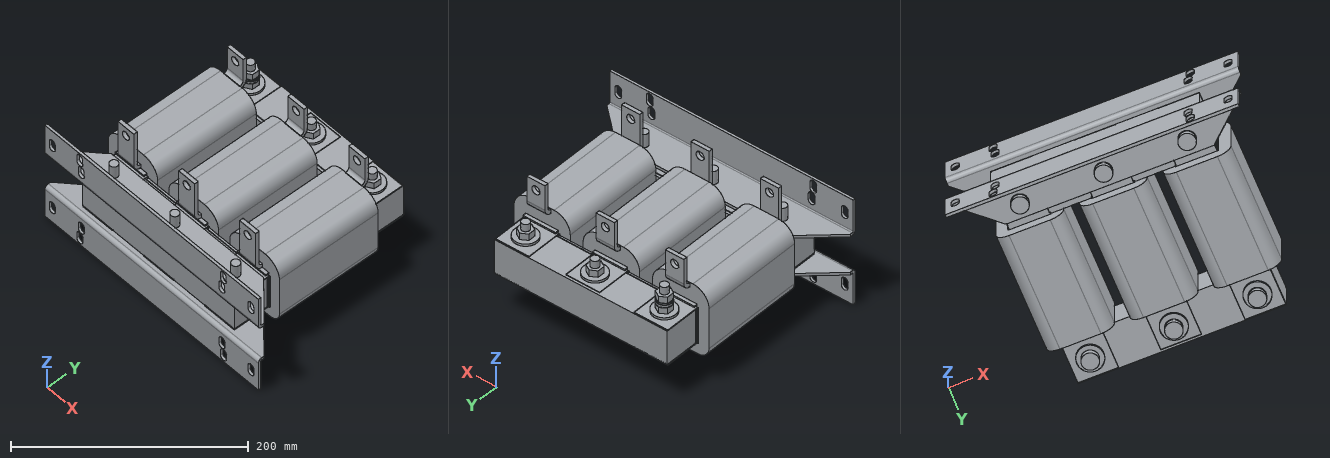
import cadquery as cq


bracket_length = 267.0
overall_depth = 200.8
back_y = overall_depth / 2
front_y = -overall_depth / 2

leg_pitch = 76.0
leg_xs = [-leg_pitch, 0, leg_pitch]
leg_width = 37.6
limb_width = leg_width - 1.0
core_width = 2 * leg_pitch + leg_width
core_bottom = -18.0
core_top = 18.7
yoke_gap = 117.7
back_yoke_front = back_y - leg_width
front_yoke_back = back_yoke_front - yoke_gap
front_yoke_front = front_yoke_back - leg_width
back_bolt_y = back_y - leg_width / 2
front_bolt_y = front_yoke_back - leg_width / 2

insulation_half_height = 19.2
coil_gap = 2.7
end_plate_thickness = 1.0
end_plate_width = 39.2
pad_width = leg_width - 0.5
front_pad_inset = 0.3
outer_pad_inset = 1.0
middle_pad_inset = 2.7
spacer_width = core_width - 1.0
spacer_top = core_top - 0.8
lip_width = 35.8
lip_depth = 3.7
lip_bottom = 20.8
lip_top = 22.5

coil_back = back_yoke_front - coil_gap
coil_front = front_yoke_back + coil_gap
coil_width = 62.0
coil_top = 42.0
coil_bottom = -31.5
coil_top_radius = 17.5
coil_bottom_radius = 12.3

tab_width = 20.0
tab_thickness = 4.0
tab_inner_radius = 4.0
tab_embed = 2.7
tab_hole_diameter = 8.8
tab_hole_below_top = 10.1
back_tab_top = 71.8
back_tab_foot = 37.0
front_tab_top = 71.0
front_tab_foot = 23.0

sheet = 3.0
bracket_outer_z = 57.1
plate_z = insulation_half_height
bend_radius = 4.0
plate_back_y = -59.3
plate_corner_y = -93.7

slot_width = 7.2
slot_height = 13.0
slot_places = [(124.2, 39.0), (89.7, 48.5), (87.8, 35.0)]

shaft_diameter = 8.5
short_shaft_top = 36.3
long_shaft_top = 48.0
washer_diameter = 24.5
washer_thickness = 2.5
nut_corner_diameter = 15.8
nut_height = 7.0
disc_diameter = 15.8
disc_thickness = 3.0
lock_washer_diameter = 14.5
lock_washer_thickness = 1.5
head_diameter = 15.8
head_height = 6.5


def block(x_mid, width, y_low, y_high, z_low, z_high):
    size = (width, y_high - y_low, z_high - z_low)
    return cq.Workplane("XY").box(*size, centered=(True, False, False)).translate((x_mid, y_low, z_low))


def disc(x, y, z_low, diameter, height):
    return cq.Workplane("XY", origin=(x, y, z_low)).circle(diameter / 2).extrude(height)


def nut(x, y, z_low):
    hexagon = cq.Workplane("XY", origin=(x, y, z_low)).polygon(6, nut_corner_diameter)
    return hexagon.extrude(nut_height).rotate((x, y, 0), (x, y, 1), 90)


def make_core():
    core = block(0, core_width, back_yoke_front, back_y, core_bottom, core_top)
    core = core.union(block(0, core_width, front_yoke_front, front_yoke_back, core_bottom, core_top))
    for x in leg_xs:
        core = core.union(block(x, limb_width, front_yoke_back, back_yoke_front, core_bottom, core_top))
    return core


def make_insulation(x):
    """Pads over and under both yokes, end plates beside the coil and the lips above them."""
    low, high = -insulation_half_height, insulation_half_height
    pad_inset = middle_pad_inset if x == 0 else outer_pad_inset
    parts = block(x, pad_width, coil_back, back_y - pad_inset, low, high)
    parts = parts.union(block(x, pad_width, front_yoke_front + front_pad_inset, coil_front, low, high))
    parts = parts.union(block(x, end_plate_width, coil_back, coil_back + end_plate_thickness, low, high))
    parts = parts.union(block(x, end_plate_width, coil_front - end_plate_thickness, coil_front, low, high))
    parts = parts.union(block(x, lip_width, coil_back, coil_back + lip_depth, lip_bottom, lip_top))
    return parts.union(block(x, lip_width, coil_front - lip_depth, coil_front, lip_bottom, lip_top))


def make_spacers():
    """Strips that run across all the legs between the coils and the yokes."""
    back = block(0, spacer_width, coil_back, back_yoke_front, core_bottom, spacer_top)
    return back.union(block(0, spacer_width, front_yoke_back, coil_front, core_bottom, spacer_top))


def make_coil(x):
    coil = block(x, coil_width, coil_front, coil_back, coil_bottom, coil_top)
    coil = coil.edges("|Y and >Z").fillet(coil_top_radius)
    return coil.edges("|Y and <Z").fillet(coil_bottom_radius)


def make_tab(x, coil_face, outward, foot, top):
    """L-shaped terminal leaving the coil face in the outward Y direction and bending up."""
    outer_radius = tab_inner_radius + tab_thickness
    inner_face = coil_face + outward * tab_inner_radius
    outer_face = coil_face + outward * outer_radius
    root = coil_face - outward * tab_embed
    bend_top = foot + outer_radius
    diagonal = 0.5 ** 0.5
    profile = (
        cq.Workplane("YZ", origin=(x - tab_width / 2, 0, 0))
        .moveTo(root, foot)
        .lineTo(coil_face, foot)
        .threePointArc(
            (coil_face + outward * outer_radius * diagonal, bend_top - outer_radius * diagonal),
            (outer_face, bend_top),
        )
        .lineTo(outer_face, top)
        .lineTo(inner_face, top)
        .lineTo(inner_face, bend_top)
        .threePointArc(
            (coil_face + outward * tab_inner_radius * diagonal, bend_top - tab_inner_radius * diagonal),
            (coil_face, foot + tab_thickness),
        )
        .lineTo(root, foot + tab_thickness)
        .close()
    )
    hole_length = 2 * outer_radius
    hole = (
        cq.Workplane("XZ", origin=(x, coil_face + hole_length, top - tab_hole_below_top))
        .circle(tab_hole_diameter / 2)
        .extrude(2 * hole_length)
    )
    return profile.extrude(tab_width).cut(hole)


def make_upper_bracket():
    """Angle with a tapered plate on the yoke and a slotted upright flange."""
    plate = (
        cq.Workplane("XY", origin=(0, 0, plate_z))
        .polyline([
            (-bracket_length / 2, front_y),
            (bracket_length / 2, front_y),
            (bracket_length / 2, plate_corner_y),
            (core_width / 2, plate_back_y),
            (-core_width / 2, plate_back_y),
            (-bracket_length / 2, plate_corner_y),
        ])
        .close()
        .extrude(sheet)
    )
    flange = block(0, bracket_length, front_y, front_y + sheet, plate_z, bracket_outer_z)
    bracket = plate.union(flange)
    bracket = bracket.edges(cq.selectors.NearestToPointSelector((0, front_y, plate_z))).fillet(bend_radius)
    inner_corner = (0, front_y + sheet, plate_z + sheet)
    bracket = bracket.edges(cq.selectors.NearestToPointSelector(inner_corner)).fillet(bend_radius - sheet)
    slot_points = [(side * x, z) for side in (-1, 1) for x, z in slot_places]
    slots = (
        cq.Workplane("XZ", origin=(0, front_y + sheet, 0))
        .pushPoints(slot_points)
        .slot2D(slot_height, slot_width, 90)
        .extrude(sheet)
    )
    return bracket.cut(slots)


def make_lower_head(x, y, seat_z, with_lock_washer):
    """Bolt head hanging below seat_z, on a lock washer where there is one."""
    head_top = seat_z - lock_washer_thickness if with_lock_washer else seat_z
    head = disc(x, y, head_top - head_height, head_diameter, head_height)
    if with_lock_washer:
        head = head.union(disc(x, y, head_top, lock_washer_diameter, lock_washer_thickness))
    return head


def make_back_bolt(x, is_earth_bolt):
    """Clamping bolt of the back yoke; the earth bolt is longer and carries a second nut."""
    y = back_bolt_y
    pad = insulation_half_height
    seat = pad + washer_thickness
    shaft_top = long_shaft_top if is_earth_bolt else short_shaft_top
    bolt = disc(x, y, -seat, shaft_diameter, seat + shaft_top)
    bolt = bolt.union(disc(x, y, pad, washer_diameter, washer_thickness))
    bolt = bolt.union(disc(x, y, -seat, washer_diameter, washer_thickness))
    bolt = bolt.union(nut(x, y, seat))
    bolt = bolt.union(make_lower_head(x, y, -seat, not is_earth_bolt))
    if is_earth_bolt:
        disc_z = seat + nut_height
        lock_washer_z = disc_z + disc_thickness
        bolt = bolt.union(disc(x, y, disc_z, disc_diameter, disc_thickness))
        bolt = bolt.union(disc(x, y, lock_washer_z, lock_washer_diameter, lock_washer_thickness))
        bolt = bolt.union(nut(x, y, lock_washer_z + lock_washer_thickness))
    return bolt


def make_front_bolt(x):
    """Bolt through the front yoke and both brackets."""
    seat = plate_z + sheet
    shaft = disc(x, front_bolt_y, -seat, shaft_diameter, seat + short_shaft_top)
    return shaft.union(make_lower_head(x, front_bolt_y, -seat, True))


upper_bracket = make_upper_bracket()
result = make_core().union(make_spacers()).union(upper_bracket).union(upper_bracket.mirror("XY"))
for leg_x in leg_xs:
    result = result.union(make_insulation(leg_x))
    result = result.union(make_coil(leg_x))
    result = result.union(make_tab(leg_x, coil_back, 1, back_tab_foot, back_tab_top))
    result = result.union(make_tab(leg_x, coil_front, -1, front_tab_foot, front_tab_top))
    result = result.union(make_back_bolt(leg_x, leg_x == leg_xs[0]))
    result = result.union(make_front_bolt(leg_x))